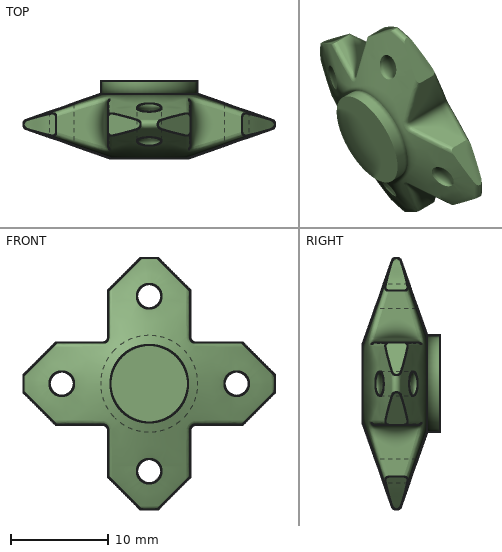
import cadquery as cq
import math

tip_radius = 12.98
front_face_radius = 4.0
front_height = 3.5
boss_radius = 5.0
boss_height = 4.5
cone_angle = math.radians(19.35)
arm_width = 8.5
tip_width = 1.7
edge_round = 0.5
hole_diameter = 2.5
hole_circle_radius = 9.0
arm_count = 4
plan_oversize = 1.3
parallel_tolerance = 0.01


def double_cone():
    """Two cones back to back with a round rim, revolved about Y."""
    cone_slope = math.tan(cone_angle)
    flank_at_axis = front_height + front_face_radius * cone_slope
    rim_round = (flank_at_axis - tip_radius * cone_slope) / (1 / math.cos(cone_angle) - cone_slope)
    rim_center = tip_radius - rim_round
    tangent_radius = rim_center + rim_round * math.sin(cone_angle)
    tangent_height = rim_round * math.cos(cone_angle)
    profile = (
        cq.Workplane("XY")
        .moveTo(0, -front_height)
        .lineTo(front_face_radius, -front_height)
        .lineTo(tangent_radius, -tangent_height)
        .threePointArc((tip_radius, 0), (tangent_radius, tangent_height))
        .lineTo(front_face_radius, front_height)
        .lineTo(0, front_height)
        .close()
    )
    return profile.revolve(360, (0, 0, 0), (0, 1, 0))


def centered_prism(length, width):
    """Block centred on the origin that spans the full thickness along Y."""
    return cq.Workplane("XY").box(length, 2 * boss_height, width)


def cross():
    """Cross-shaped prism with rounded inner corners."""
    arm_length = 2 * (tip_radius + plan_oversize)
    plan = centered_prism(arm_length, arm_width).union(centered_prism(arm_width, arm_length))
    inner = arm_width / 2 + edge_round
    corners = cq.selectors.BoxSelector((-inner, -boss_height, -inner), (inner, boss_height, inner))
    return plan.edges("|Y").edges(corners).fillet(edge_round)


def round_arm_edges(body):
    """Round the edges where the arm sides meet the conical faces."""
    side_faces = [face for face in body.faces("%PLANE").vals() if abs(face.normalAt().y) < parallel_tolerance]
    side_edges = [
        edge
        for face in side_faces
        for edge in face.Edges()
        if abs(edge.Center().y) > edge_round and edge.geomType() != "LINE"
    ]
    return body.newObject(side_edges).fillet(edge_round)


def trim_arm_ends(body):
    """Cut the arm corners at 45 degrees."""
    diamond_side = math.sqrt(2) * (tip_radius + tip_width / 2)
    diamond = centered_prism(diamond_side, diamond_side).rotate((0, 0, 0), (0, 1, 0), 45)
    return body.intersect(diamond)


def arm_holes():
    """One through hole along Y near the end of each arm."""
    return (
        cq.Workplane("XZ")
        .polarArray(hole_circle_radius, 0, 360, arm_count)
        .circle(hole_diameter / 2)
        .extrude(boss_height, both=True)
    )


star = trim_arm_ends(round_arm_edges(double_cone().intersect(cross())))
boss = cq.Workplane("XZ").circle(boss_radius).extrude(-boss_height)
result = star.union(boss).cut(arm_holes())